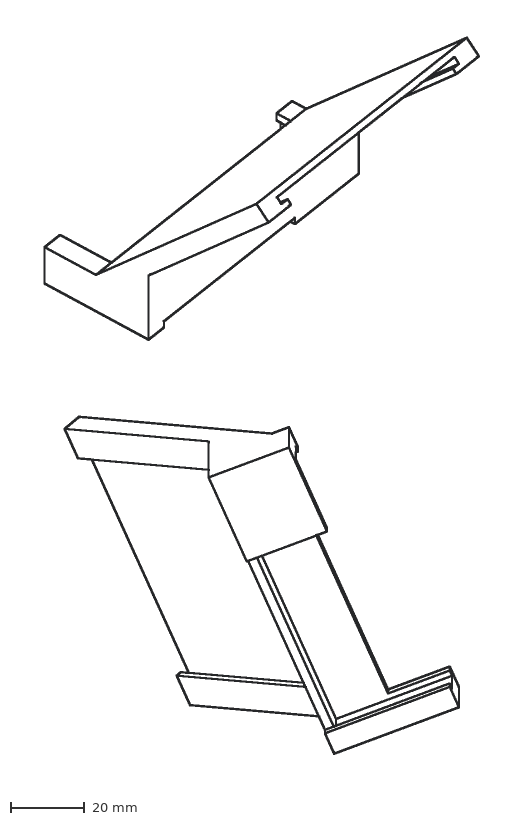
import cadquery as cq
import math

length = 78.7
width = 89.3
height = 69.4

base_length = 36.5
base_height = 13.0
toe_x = 18.0
left_arm_start = 13.0

channel_wall = 4.9
channel_floor = 2.2
channel_roof = 2.6
back_wall = 2.6
lip_reach = 6.6
left_floor_reach = 27.1

slope = math.radians(45)
plate_top_x = toe_x + (height - base_height) / math.tan(slope)
plate_thickness = (length - plate_top_x) / math.sin(slope)
plate_tip_z = height - plate_thickness * math.cos(slope)
plate_root_z = plate_tip_z - (length - base_length) * math.tan(slope)
slot_length = (length - base_length) / math.cos(slope)
slot_skin = 2.05
slot_lip_thickness = 1.8
slot_wall = 7.0
slot_lip_reach = 9.55


def box(x_range, y_range, z_range):
    """Box between two limits on each axis."""
    sizes = [high - low for low, high in (x_range, y_range, z_range)]
    corner = (x_range[0], y_range[0], z_range[0])
    return cq.Workplane("XY").box(*sizes, centered=False).translate(corner)


def make_body():
    """Base and sloped plate as one side profile across the full width."""
    profile = [
        (0, 0),
        (base_length, 0),
        (base_length, plate_root_z),
        (length, plate_tip_z),
        (plate_top_x, height),
        (toe_x, base_height),
        (0, base_height),
    ]
    return cq.Workplane("XZ").polyline(profile).close().extrude(-width)


def cut_base(body):
    """Channel between the arms, its openings above and below, and the shorter arm."""
    lip_gap = (lip_reach, width - lip_reach)
    floor_gap = (lip_reach, width - left_floor_reach)
    channel_z = (channel_floor, base_height - channel_roof)
    channel_y = (channel_wall, width - channel_wall)
    body = body.cut(box((0, base_length - back_wall), channel_y, channel_z))
    body = body.cut(box((0, toe_x), lip_gap, (channel_floor, base_height)))
    body = body.cut(box((0, base_length), floor_gap, (0, channel_floor)))
    left_half = (width / 2, width)
    return body.cut(box((0, left_arm_start), left_half, (0, base_height)))


def slot_part(y_range, depth_range):
    """Box running down the plate from its tip; depth is measured from the upper face."""
    along = (-slot_length, 0)
    below = (-depth_range[1], -depth_range[0])
    part = box(along, y_range, below)
    part = part.rotate((0, 0, 0), (0, 1, 0), -math.degrees(slope))
    return part.translate((plate_top_x, 0, height))


def cut_plate(body):
    """Slot with lips in the underside of the plate, open at the tip."""
    groove_y = (slot_wall, width - slot_wall)
    mouth_y = (slot_lip_reach, width - slot_lip_reach)
    lip_depth = plate_thickness - slot_lip_thickness
    body = body.cut(slot_part(groove_y, (slot_skin, lip_depth)))
    return body.cut(slot_part(mouth_y, (lip_depth, plate_thickness)))


result = cut_plate(cut_base(make_body()))